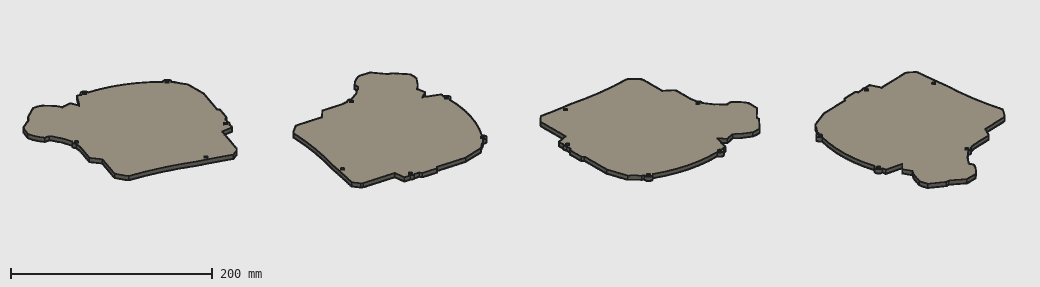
import cadquery as cq

width = 171.9
length = 194.0
thickness = 5.0

hole_diameter = 3.5
boss_radius = 4.3

upper_edge_y = 191.5
right_shoulder_y = 179.3
lower_right_edge_y = 48.5
lower_middle_edge_y = 37.8

left_hole = (boss_radius, 82.8)
upper_left_hole = (15.5, 167.0)
upper_hole = (113.1, 188.0)
lower_hole = (87.7, 38.2)
right_hole = (165.5, 144.7)
edge_holes = [left_hole, upper_left_hole, upper_hole, lower_hole]
all_holes = edge_holes + [right_hole]

left_arc_bottom = (3.5, 87.1)
left_arc_middle = (5.6, 138.5)
left_arc_top = (13.5, 163.0)
right_corner_top = (width, 171.7)
right_upper_arc_middle = (170.7, 153.0)
right_arc_joint = (170.0, 132.7)
right_lower_arc_middle = (167.6, 94.0)
right_corner_bottom = (169.5, 60.0)

upper_edge = [
    (17.5, 171.1),
    (18.6, 173.6),
    (23.0, 178.0),
    (28.0, 184.0),
    (50.6, upper_edge_y),
    (84.2, upper_edge_y),
    (85.5, length),
    (102.8, length),
    (104.8, upper_edge_y),
    (122.5, upper_edge_y),
    (126.1, right_shoulder_y),
    (163.0, right_shoulder_y),
    (165.5, 178.1),
    right_corner_top,
]

lower_edge = [
    (168.2, 57.6),
    (160.0, 48.9),
    (155.6, lower_right_edge_y),
    (129.2, lower_right_edge_y),
    (121.7, lower_middle_edge_y),
    (99.0, lower_middle_edge_y),
    (91.8, 36.5),
    (86.0, 35.0),
    (75.5, 27.5),
    (73.7, 25.2),
    (68.3, 20.0),
    (67.0, 17.8),
]

lower_left_lobe = [
    (68.1, 12.6),
    (64.6, 8.0),
    (59.8, 3.3),
    (54.7, 0.0),
    (41.7, 0.4),
    (32.0, 9.3),
    (28.0, 12.6),
    (24.6, 12.8),
    (10.0, 24.6),
    (9.1, 30.3),
    (9.1, 34.7),
    (15.1, 46.8),
    (19.8, 52.2),
    (16.1, 62.3),
    (23.9, 68.9),
    (5.0, 74.1),
    (5.0, 78.8),
]


def make_plate():
    """Flat plate bounded by curved sides and straight segments."""
    outline = cq.Workplane("XY").moveTo(*left_arc_bottom)
    outline = outline.threePointArc(left_arc_middle, left_arc_top)
    for point in upper_edge:
        outline = outline.lineTo(*point)
    outline = outline.threePointArc(right_upper_arc_middle, right_arc_joint)
    outline = outline.threePointArc(right_lower_arc_middle, right_corner_bottom)
    for point in lower_edge + lower_left_lobe:
        outline = outline.lineTo(*point)
    return outline.close().extrude(thickness)


def make_cylinders(centers, radius):
    """Upright cylinders through the full plate thickness."""
    return cq.Workplane("XY").pushPoints(centers).circle(radius).extrude(thickness)


bosses = make_cylinders(edge_holes, boss_radius)
holes = make_cylinders(all_holes, hole_diameter / 2)
result = make_plate().union(bosses).cut(holes)